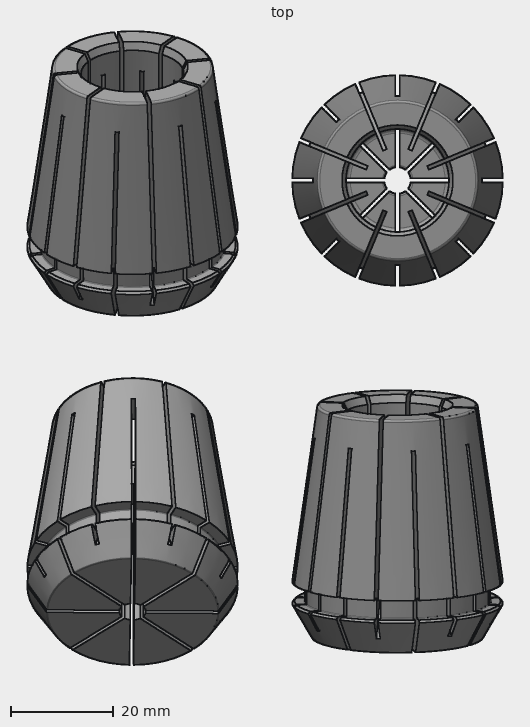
import cadquery as cq
import math

tolerance = 0.0005

height = 46.0
max_diameter = 41.1
max_radius = max_diameter / 2
nose_angle = 30.0
body_angle = 8.0

flange_top = 7.1
flange_bevel = 0.45
nose_cone_top = flange_top - flange_bevel
groove_radius = 18.12
groove_top = 11.05

rim_fillet = 0.5
groove_fillet = 0.15
nose_fillet = 0.25

hole_radius = 2.58
hole_edge_fillet = 0.4
bore_radius = 10.05
bore_floor_fillet = 0.8
bore_mouth_radius = 10.8
mouth_bevel_height = 1.5

slot_width = 0.8
slots_per_set = 8
slot_pitch = 360.0 / slots_per_set
nose_slot_top = 39.95
back_slot_end_angle = 65.0
back_slot_edge_radius = 18.5
back_slot_inner_radius = 6.45

body_slope = math.tan(math.radians(body_angle))
nose_slope = math.tan(math.radians(nose_angle))

slot_end_slope = math.tan(math.radians(back_slot_end_angle))
back_slot_edge_height = nose_cone_top - (max_radius - back_slot_edge_radius) / nose_slope

bore_floor = back_slot_edge_height + (back_slot_edge_radius - back_slot_inner_radius) * slot_end_slope


def round_edge(body, radius, level, fillet):
    """Fillet the circular edge of the given radius at the given height."""
    def is_wanted(edge):
        right_radius = math.isclose(edge.radius(), radius, abs_tol=tolerance)
        right_level = math.isclose(edge.Center().z, level, abs_tol=tolerance)
        return right_radius and right_level

    return body.edges("%CIRCLE").filter(is_wanted).fillet(fillet)


def make_body():
    """Revolve the collet section about Z and round its edges."""
    nose_radius = max_radius - nose_cone_top * nose_slope
    back_radius = max_radius - (height - groove_top) * body_slope
    section = [
        (hole_radius, 0),
        (nose_radius, 0),
        (max_radius, nose_cone_top),
        (max_radius - flange_bevel, flange_top),
        (groove_radius, flange_top),
        (groove_radius, groove_top),
        (max_radius, groove_top),
        (back_radius, height),
        (bore_mouth_radius, height),
        (bore_radius, height - mouth_bevel_height),
        (bore_radius, bore_floor),
        (hole_radius, bore_floor),
    ]
    body = cq.Workplane("XZ").polyline(section).close().revolve(360, (0, 0), (0, 1))
    body = round_edge(body, nose_radius, 0, nose_fillet)
    body = round_edge(body, groove_radius, flange_top, groove_fillet)
    body = round_edge(body, groove_radius, groove_top, groove_fillet)
    body = round_edge(body, back_radius, height, rim_fillet)
    body = round_edge(body, bore_radius, bore_floor, bore_floor_fillet)
    return round_edge(body, hole_radius, bore_floor, hole_edge_fillet)


def make_slot(outline):
    """Extrude a slot outline, drawn in radius and height, to a thin blade along +X."""
    return cq.Workplane("XZ").polyline(outline).close().extrude(slot_width / 2, both=True)


def nose_slot():
    """Blade open at the nose, with a level end inside the body cone."""
    return make_slot([
        (0, 0),
        (max_radius, 0),
        (max_radius, nose_slot_top),
        (0, nose_slot_top),
    ])


def back_slot():
    """Blade open at the back, with a sloped end face falling outward through the nose cone."""
    floor_outer = bore_floor - (max_radius - back_slot_inner_radius) * slot_end_slope
    return make_slot([
        (back_slot_inner_radius, bore_floor),
        (max_radius, floor_outer),
        (max_radius, height),
        (back_slot_inner_radius, height),
    ])


result = make_body()
for index in range(slots_per_set):
    angle = index * slot_pitch
    result = result.cut(nose_slot().rotate((0, 0, 0), (0, 0, 1), angle))
    result = result.cut(back_slot().rotate((0, 0, 0), (0, 0, 1), angle + slot_pitch / 2))